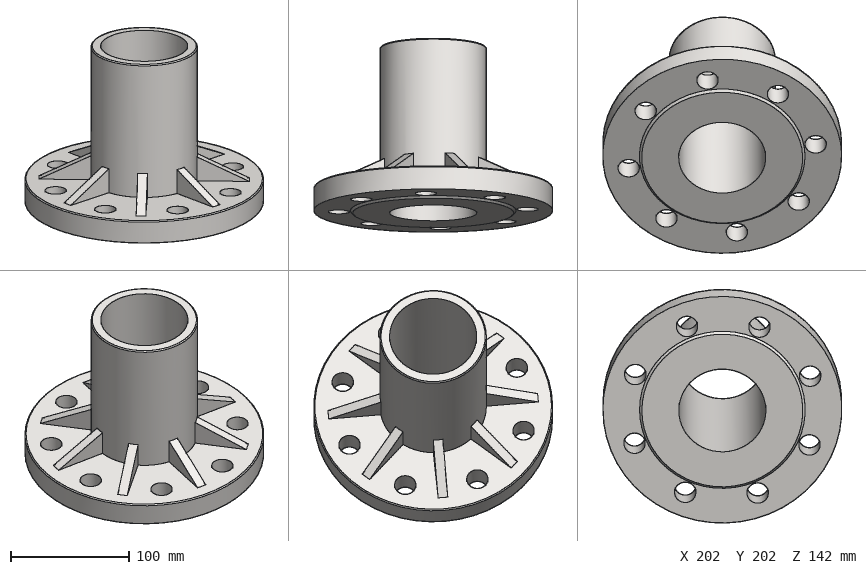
import cadquery as cq

total_height = 142.0
raised_face_height = 2.0
flange_thickness = 20.0
flange_top = raised_face_height + flange_thickness

flange_diameter = 202.0
raised_face_diameter = 140.0
tube_diameter = 90.0
bore_diameter = 73.6
wall_thickness = (tube_diameter - bore_diameter) / 2

bolt_count = 8
bolt_hole_diameter = 18.0
bolt_circle_diameter = 160.0

rib_count = bolt_count
rib_thickness = wall_thickness
rib_height = 21.5
rib_outer_radius = 89.0
rib_first_angle = 180.0 / rib_count

edge_chamfer = 1.0
raised_face_chamfer = raised_face_height


def make_raised_face():
    disc = cq.Workplane("XY").circle(raised_face_diameter / 2).extrude(flange_top)
    return disc.faces("<Z").edges().chamfer(raised_face_chamfer)


def make_flange():
    disc = cq.Workplane("XY", origin=(0, 0, raised_face_height))
    disc = disc.circle(flange_diameter / 2).extrude(flange_thickness)
    return disc.faces(">Z").edges().chamfer(edge_chamfer)


def make_tube():
    tube = cq.Workplane("XY").circle(tube_diameter / 2).extrude(total_height)
    return tube.faces(">Z").edges().chamfer(edge_chamfer)


def make_rib(angle):
    """Triangular gusset whose sloping edge meets the tube wall at rib_height."""
    tube_radius = tube_diameter / 2
    root_radius = tube_radius - wall_thickness / 2
    slope = rib_height / (rib_outer_radius - tube_radius)
    root_height = slope * (rib_outer_radius - root_radius)
    profile = [
        (root_radius, flange_top),
        (rib_outer_radius, flange_top),
        (root_radius, flange_top + root_height),
    ]
    rib = cq.Workplane("XZ").polyline(profile).close().extrude(rib_thickness / 2, both=True)
    return rib.rotate((0, 0, 0), (0, 0, 1), angle)


def make_bolt_holes():
    holes = cq.Workplane("XY").polarArray(bolt_circle_diameter / 2, 0, 360, bolt_count)
    return holes.circle(bolt_hole_diameter / 2).extrude(flange_top)


def make_bore():
    return cq.Workplane("XY").circle(bore_diameter / 2).extrude(total_height)


body = make_flange().union(make_raised_face()).union(make_tube())
for index in range(rib_count):
    body = body.union(make_rib(rib_first_angle + index * 360.0 / rib_count))

result = body.cut(make_bolt_holes()).cut(make_bore())